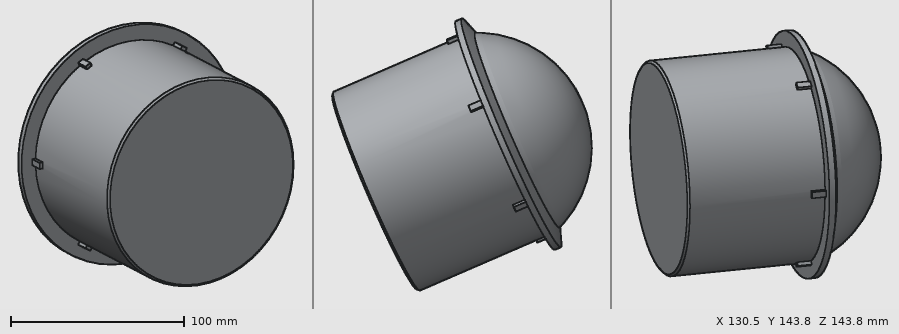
import cadquery as cq
import math

overall_length = 130.5
dome_depth = 37.5
cone_start = 40.8
rim_start = 44.5
flange_back = 48.5

flange_radius = 143.8 / 2
body_radius = 125 / 2
dome_rim_radius = 59.8
cone_root_radius = 61.2

end_chamfer = 1.3

rib_count = 6
rib_length = 8.3
rib_width = 3.7
rib_outer_radius = 64.7
rib_inner_radius = 57.5


def revolved_body():
    """Dome, flange and cylinder as one solid turned about the X axis."""
    sphere_radius = (dome_rim_radius**2 + dome_depth**2) / (2 * dome_depth)
    arc_mid_angle = math.asin(dome_rim_radius / sphere_radius) / 2
    arc_mid = (
        sphere_radius * (1 - math.cos(arc_mid_angle)),
        sphere_radius * math.sin(arc_mid_angle),
    )
    return (
        cq.Workplane("XY")
        .moveTo(0, 0)
        .threePointArc(arc_mid, (dome_depth, dome_rim_radius))
        .lineTo(cone_start, cone_root_radius)
        .lineTo(rim_start, flange_radius)
        .lineTo(flange_back, flange_radius)
        .lineTo(flange_back, body_radius)
        .lineTo(overall_length - end_chamfer, body_radius)
        .lineTo(overall_length, body_radius - end_chamfer)
        .lineTo(overall_length, 0)
        .close()
        .revolve(360, (0, 0, 0), (1, 0, 0))
    )


def rib(angle):
    """Short rib behind the flange, turned about X from the +Y direction."""
    return (
        cq.Workplane("XY")
        .box(rib_length, rib_outer_radius - rib_inner_radius, rib_width, centered=(False, False, True))
        .translate((flange_back, rib_inner_radius, 0))
        .rotate((0, 0, 0), (1, 0, 0), angle)
    )


result = revolved_body()
for index in range(rib_count):
    result = result.union(rib(index * 360 / rib_count))

result = result.translate((-overall_length / 2, 0, 0))